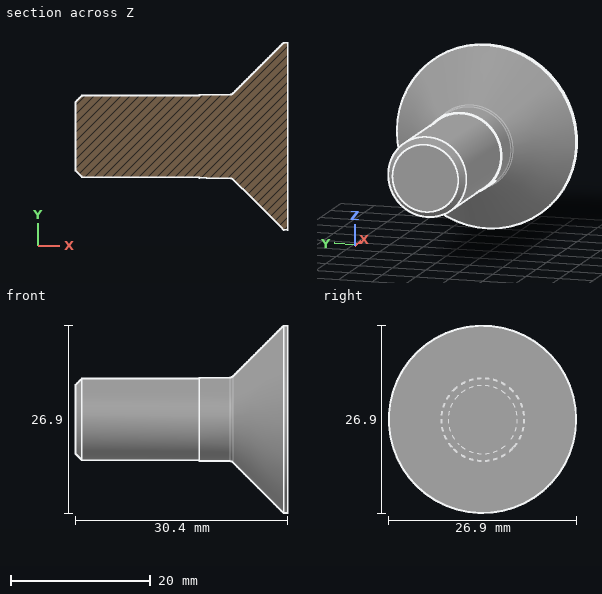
import cadquery as cq

total_length = 30.42
head_radius = 13.43
rim_thickness = 0.6
thread_radius = 5.87
thread_end = 17.77
shoulder_radius = 6.0
tip_chamfer = 0.95
neck_fillet = 0.6

rim_start = total_length - rim_thickness
cone_start = rim_start - (head_radius - shoulder_radius)


def shaft_section(start, end, radius):
    """Solid cylinder on the X axis."""
    return cq.Workplane("YZ").workplane(offset=start).circle(radius).extrude(end - start)


head = (
    cq.Workplane("XY")
    .moveTo(thread_end, 0)
    .lineTo(thread_end, shoulder_radius)
    .lineTo(cone_start, shoulder_radius)
    .lineTo(rim_start, head_radius)
    .lineTo(total_length, head_radius)
    .lineTo(total_length, 0)
    .close()
    .revolve(360, (0, 0, 0), (1, 0, 0))
)

neck_edge = cq.selectors.NearestToPointSelector((cone_start, 0, 0))
head = head.edges(neck_edge).fillet(neck_fillet)

thread = shaft_section(0, thread_end, thread_radius).faces("<X").chamfer(tip_chamfer)

result = head.union(thread)